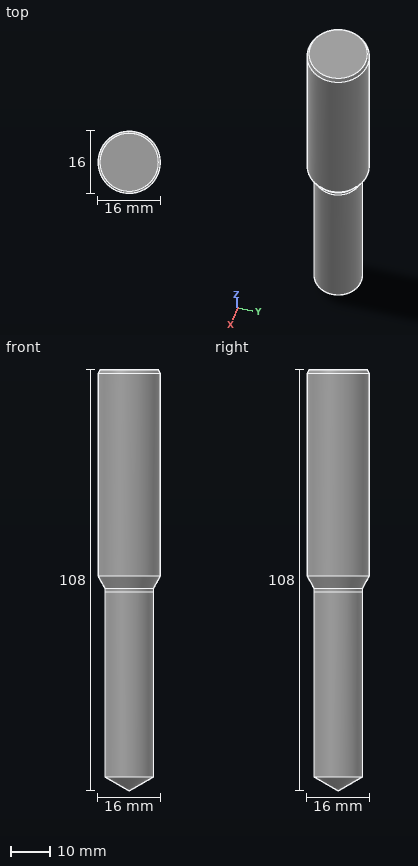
import cadquery as cq
import math

overall_length = 108.0
shank_diameter = 16.0
cutter_diameter = 12.5
point_angle = 120.0
shank_bottom_z = 55.1
neck_top_z = 52.0
joint_z = 51.0
chamfer_height = 1.1
chamfer_width = 0.5

shank_radius = shank_diameter / 2
cutter_radius = cutter_diameter / 2
point_height = cutter_radius / math.tan(math.radians(point_angle / 2))


def revolve_about_z(outline):
    """Revolve a closed outline of (radius, z) points about the Z axis."""
    return cq.Workplane("XZ").polyline(outline).close().revolve(360, (0, 0), (0, 1))


def make_holder():
    """Chamfered shank that tapers down to a short neck."""
    return revolve_about_z([
        (0, joint_z),
        (cutter_radius, joint_z),
        (cutter_radius, neck_top_z),
        (shank_radius, shank_bottom_z),
        (shank_radius, overall_length - chamfer_height),
        (shank_radius - chamfer_width, overall_length),
        (0, overall_length),
    ])


def make_cutter():
    """Cylindrical cutting length with a conical point."""
    return revolve_about_z([
        (0, 0),
        (cutter_radius, point_height),
        (cutter_radius, joint_z),
        (0, joint_z),
    ])


holder = make_holder()
cutter = make_cutter()

result = cq.Compound.makeCompound([holder.val(), cutter.val()])